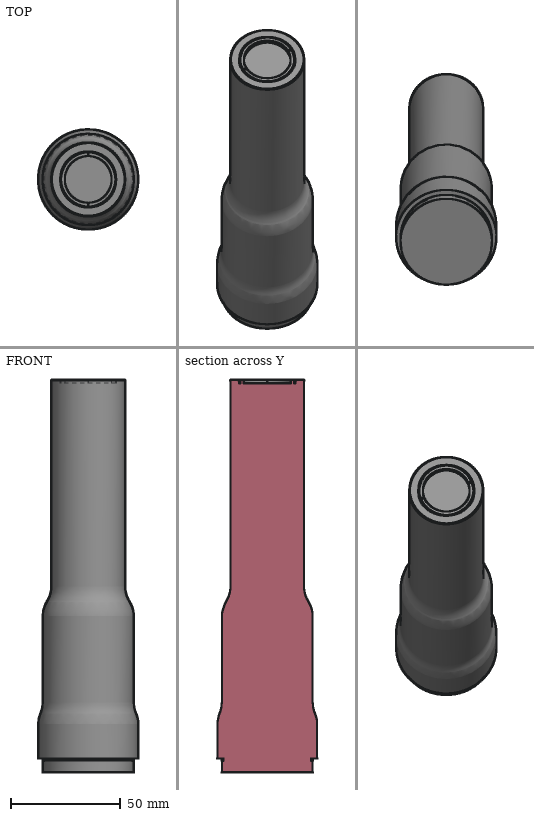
import cadquery as cq
import math

height = 180.0
tube_radius = 34.0 / 2
body_radius = 42.0 / 2
collar_radius = 46.0 / 2

groove_radius = 40.5 / 2
groove_bottom = 5.4
collar_bottom = 6.3

blend_radius = 12.6
collar_shoulder_bottom = 22.0
body_shoulder_bottom = 71.5
body_shoulder_angle = math.radians(30.5)

collar_shoulder_angle = math.acos(1 - (collar_radius - body_radius) / (2 * blend_radius))
minimum_cone_inset = 0.02

rim_chamfer = 0.4

ring_seat_radius = 25.7 / 2
ring_radius = 24.8 / 2
window_radius = 21.5 / 2
window_depth = 1.6
ring_slit_width = 0.4


def add_shoulder(profile, lower_radius, upper_radius, bottom, angle):
    """Extend the profile from the lower cylinder up and in to the upper one."""
    arc_inset = blend_radius * (1 - math.cos(angle))
    arc_height = blend_radius * math.sin(angle)
    half_angle_inset = blend_radius * (1 - math.cos(angle / 2))
    half_angle_height = blend_radius * math.sin(angle / 2)
    cone_inset = lower_radius - upper_radius - 2 * arc_inset
    top = bottom + 2 * arc_height + cone_inset / math.tan(angle)
    profile = profile.lineTo(lower_radius, bottom).threePointArc(
        (lower_radius - half_angle_inset, bottom + half_angle_height),
        (lower_radius - arc_inset, bottom + arc_height),
    )
    if cone_inset > minimum_cone_inset:
        profile = profile.lineTo(upper_radius + arc_inset, top - arc_height)
    return profile.threePointArc(
        (upper_radius + half_angle_inset, top - half_angle_height),
        (upper_radius, top),
    )


def make_body():
    """Revolve the outer profile about the Z axis."""
    profile = (
        cq.Workplane("XZ")
        .lineTo(body_radius, 0)
        .lineTo(body_radius, groove_bottom)
        .lineTo(groove_radius, groove_bottom)
        .lineTo(groove_radius, collar_bottom)
        .lineTo(collar_radius, collar_bottom)
    )
    profile = add_shoulder(
        profile, collar_radius, body_radius, collar_shoulder_bottom, collar_shoulder_angle
    )
    profile = add_shoulder(
        profile, body_radius, tube_radius, body_shoulder_bottom, body_shoulder_angle
    )
    profile = (
        profile.lineTo(tube_radius, height - rim_chamfer)
        .lineTo(tube_radius - rim_chamfer, height)
        .lineTo(0, height)
        .close()
    )
    return profile.revolve(360, (0, 0, 0), (0, 1, 0))


def make_top_recess():
    """Material removed around and inside the bezel ring, with its two slits along Y."""
    floor = cq.Workplane("XY").workplane(offset=height - window_depth)
    window = floor.circle(window_radius).extrude(window_depth)
    gap = floor.circle(ring_seat_radius).circle(ring_radius).extrude(window_depth)
    slits = floor.rect(ring_slit_width, 2 * ring_radius).extrude(window_depth)
    return window.union(slits).union(gap)


result = make_body().cut(make_top_recess())